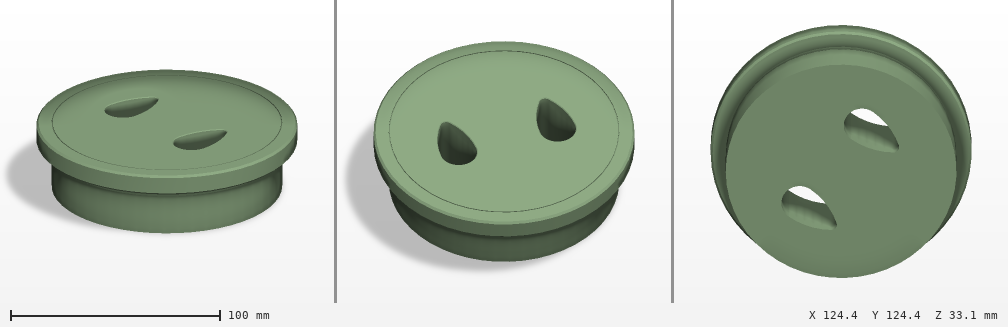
import cadquery as cq
import math

FLANGE_RADIUS = 62.2
TOTAL_HEIGHT = 33.1
FLANGE_THICKNESS = 10.0
FLANGE_CHAMFER = 1.0

BODY_RADIUS = 55.0
NECK_RADIUS = 54.5
COLLAR_RADIUS = 54.8
COLLAR_HEIGHT = 0.7
BODY_TOP = 19.3
NECK_BOTTOM = 20.8

GROOVE_OUTER_RADIUS = 55.0
GROOVE_WIDTH = 0.5
GROOVE_DEPTH = 0.5

OPENING_SPACING = 49.8
OPENING_TIP_Y = 15.3
OPENING_BASE_Y = -14.8
TIP_RADIUS = 2.7
BASE_RADIUS = 8.7
OPENING_CHAMFER = 0.4


def turned_body():
    """Revolve the stepped outer profile about Z."""
    flange_bottom = TOTAL_HEIGHT - FLANGE_THICKNESS
    collar_bottom = flange_bottom - COLLAR_HEIGHT
    chamfered_radius = FLANGE_RADIUS - FLANGE_CHAMFER
    profile = [
        (0, 0),
        (BODY_RADIUS, 0),
        (BODY_RADIUS, BODY_TOP),
        (NECK_RADIUS, NECK_BOTTOM),
        (NECK_RADIUS, collar_bottom),
        (COLLAR_RADIUS, flange_bottom),
        (chamfered_radius, flange_bottom),
        (FLANGE_RADIUS, flange_bottom + FLANGE_CHAMFER),
        (FLANGE_RADIUS, TOTAL_HEIGHT - FLANGE_CHAMFER),
        (chamfered_radius, TOTAL_HEIGHT),
        (0, TOTAL_HEIGHT),
    ]
    return cq.Workplane("XZ").polyline(profile).close().revolve(360, (0, 0, 0), (0, 1, 0))


def ring_groove():
    """Shallow ring cut into the top face."""
    return (
        cq.Workplane("XY", origin=(0, 0, TOTAL_HEIGHT - GROOVE_DEPTH))
        .circle(GROOVE_OUTER_RADIUS)
        .circle(GROOVE_OUTER_RADIUS - GROOVE_WIDTH)
        .extrude(GROOVE_DEPTH)
    )


def teardrop_cutter(center_x):
    """Through cutter whose bowed sides are tangent to both round ends."""
    tip_center = OPENING_TIP_Y - TIP_RADIUS
    base_center = OPENING_BASE_Y + BASE_RADIUS
    reach = tip_center - base_center
    side_radius = (reach**2 + BASE_RADIUS**2 - TIP_RADIUS**2) / (2 * (BASE_RADIUS - TIP_RADIUS))
    side_offset = side_radius - BASE_RADIUS
    tangent_angle = math.atan2(reach, side_offset)
    tangent_x = TIP_RADIUS * math.cos(tangent_angle)
    tangent_y = tip_center + TIP_RADIUS * math.sin(tangent_angle)
    middle_x = side_radius * math.cos(tangent_angle / 2) - side_offset
    middle_y = base_center + side_radius * math.sin(tangent_angle / 2)
    return (
        cq.Workplane("XY", origin=(center_x, 0, 0))
        .moveTo(BASE_RADIUS, base_center)
        .threePointArc((middle_x, middle_y), (tangent_x, tangent_y))
        .threePointArc((0, OPENING_TIP_Y), (-tangent_x, tangent_y))
        .threePointArc((-middle_x, middle_y), (-BASE_RADIUS, base_center))
        .threePointArc((0, OPENING_BASE_Y), (BASE_RADIUS, base_center))
        .close()
        .extrude(TOTAL_HEIGHT)
    )


def teardrop_openings(part):
    """Cut both openings and chamfer their upper rims."""
    rim_half_height = 0.1
    for side in (-1, 1):
        center_x = side * OPENING_SPACING / 2
        part = part.cut(teardrop_cutter(center_x))
        rim_finder = cq.selectors.BoxSelector(
            (center_x - 2 * BASE_RADIUS, 2 * OPENING_BASE_Y, TOTAL_HEIGHT - rim_half_height),
            (center_x + 2 * BASE_RADIUS, 2 * OPENING_TIP_Y, TOTAL_HEIGHT + rim_half_height),
        )
        part = part.edges(rim_finder).chamfer(OPENING_CHAMFER)
    return part


result = teardrop_openings(turned_body().cut(ring_groove()))